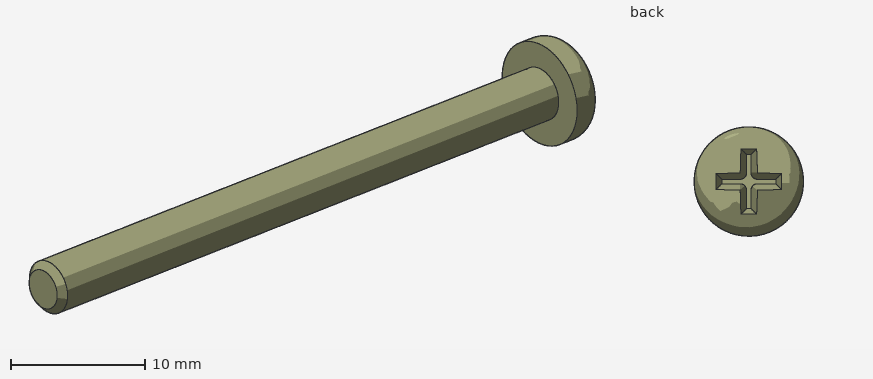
import cadquery as cq
import math


shank_diameter = 4.17
shank_length = 50.8
tip_chamfer = 0.55

head_diameter = 8.18
head_height = 2.96
band_height = 1.3
shoulder_radius = 1.33

recess_span = 5.0
wing_width = 1.3
recess_depth = 1.8
recess_taper = 15.0

shank_radius = shank_diameter / 2
head_radius = head_diameter / 2


def make_shank():
    """Plain cylinder with a chamfered tip."""
    shank = cq.Workplane("XZ").circle(shank_radius).extrude(shank_length)
    return shank.faces("<Y").chamfer(tip_chamfer)


def make_head():
    """Revolved head: straight band, then a shoulder arc tangent to the band and the crown arc."""
    shoulder_x = head_radius - shoulder_radius
    crown_rise = head_height - band_height

    squares = shoulder_x**2 + crown_rise**2 - shoulder_radius**2
    crown_radius = squares / (2 * (crown_rise - shoulder_radius))
    crown_centre_y = head_height - crown_radius
    tangent_angle = math.asin(shoulder_x / (crown_radius - shoulder_radius))

    def crown_point(angle):
        return crown_radius * math.sin(angle), crown_centre_y + crown_radius * math.cos(angle)

    middle_angle = (tangent_angle + math.pi / 2) / 2
    shoulder_middle = (
        shoulder_x + shoulder_radius * math.sin(middle_angle),
        band_height + shoulder_radius * math.cos(middle_angle),
    )

    return (
        cq.Workplane("XY")
        .lineTo(head_radius, 0)
        .lineTo(head_radius, band_height)
        .threePointArc(shoulder_middle, crown_point(tangent_angle))
        .threePointArc(crown_point(tangent_angle / 2), (0, head_height))
        .close()
        .revolve(axisStart=(0, 0, 0), axisEnd=(0, 1, 0))
    )


def make_recess():
    """Tapered cross, widest at the crown apex and narrowing into the head."""
    apex_plane = cq.Workplane("XZ", origin=(0, head_height, 0))
    cross = cq.Sketch().rect(recess_span, wing_width).rect(wing_width, recess_span).clean()
    return apex_plane.placeSketch(cross).extrude(recess_depth, taper=recess_taper)


result = make_shank().union(make_head()).cut(make_recess())